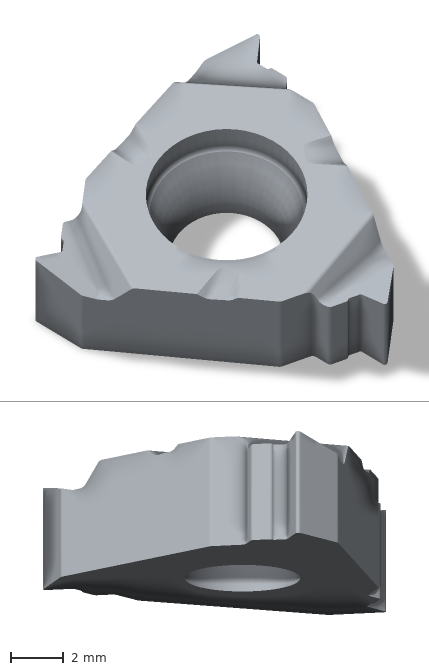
import cadquery as cq
import math

thickness = 4.25
corner_angles = (0, 120, 240)
long_wall_distance = 4.75
end_wall_distance = 5.41
blend_radius = 0.26

flank_angle = math.radians(60)
outer_flank_distance = 6.61
inner_flank_distance = 0.4
shoulder_flank_distance = 1.64
root_height = 5.95
shoulder_height = 6.07
shoulder_start = -2.38
tip_radius = 0.11
root_radius = 0.1
step_root_radius = 0.05
step_crest_radius = 0.12
shoulder_radius = 0.18
end_wall_radius = 0.23
apex_height = (outer_flank_distance + inner_flank_distance) / (2 * math.cos(flank_angle))
tip_height = apex_height - tip_radius * (1 / math.cos(flank_angle) - 1)

rake_angle = 15
tip_drop = 0.277
groove_direction = 32
groove_wall_distance = 5.1
groove_wall_angle = 54
groove_depth = 0.95
groove_radius = 0.34
groove_lip_radius = 0.19

notch_direction = -15
notch_center = -0.23
notch_depth = 0.25
notch_ramp_angle = 10.5
notch_width = 0.89
notch_side_angle = 38
notch_radius = 0.38
notch_length = 2.03

hole_diameter = 4.4
head_diameter = 6.14
head_depth = 1.07
seat_diameter = 5.87
seat_depth = 1.27
throat_depth = 3.55

reach = 27.04


def plan_direction(degrees):
    """Level unit vector at a plan angle measured from +X."""
    angle = math.radians(degrees)
    return cq.Vector(math.cos(angle), math.sin(angle), 0)


def half_space(point, normal):
    """Block filling everything on the side of a plane that its normal points to."""
    plane = cq.Plane(origin=point.toTuple(), normal=normal.toTuple())
    return cq.Workplane(plane).rect(reach, reach).extrude(reach)


def sloped_normal(downhill, degrees):
    """Upward normal of a plane that falls by the given angle along a level direction."""
    angle = math.radians(degrees)
    return downhill * math.sin(angle) + cq.Vector(0, 0, math.cos(angle))


def flank_x(distance, height):
    """X at a given Y on a flank that falls to the right at the flank angle."""
    return (distance - height * math.cos(flank_angle)) / math.sin(flank_angle)


def tooth_outline():
    """Corner points of the +Y corner, clockwise, each with its rounding radius."""
    wall_top = (outer_flank_distance - long_wall_distance * math.sin(flank_angle)) / math.cos(flank_angle)
    step_run = (shoulder_height - root_height) / math.tan(flank_angle)
    end_x = (long_wall_distance - end_wall_distance * math.sin(flank_angle)) / math.cos(flank_angle)
    return [
        ((-long_wall_distance, wall_top), blend_radius),
        ((flank_x(inner_flank_distance, apex_height), apex_height), tip_radius),
        ((flank_x(inner_flank_distance, root_height), root_height), root_radius),
        ((shoulder_start - step_run, root_height), step_root_radius),
        ((shoulder_start, shoulder_height), step_crest_radius),
        ((flank_x(shoulder_flank_distance, shoulder_height), shoulder_height), shoulder_radius),
        ((flank_x(shoulder_flank_distance, end_wall_distance), end_wall_distance), end_wall_radius),
        ((end_x, end_wall_distance), blend_radius),
    ]


def rounded_outline(corners):
    """Closed outline whose corners are replaced by tangent arcs."""
    outline = cq.Workplane("XY")
    for index, (corner, radius) in enumerate(corners):
        vertex = cq.Vector(*corner)
        back = (cq.Vector(*corners[index - 1][0]) - vertex).normalized()
        ahead = (cq.Vector(*corners[(index + 1) % len(corners)][0]) - vertex).normalized()
        half_angle = back.getAngle(ahead) / 2
        setback = radius / math.tan(half_angle)
        bisector = (back + ahead).normalized()
        middle = (vertex + bisector * (radius / math.sin(half_angle) - radius)).toTuple()[:2]
        end = (vertex + ahead * setback).toTuple()[:2]
        start = (vertex + back * setback).toTuple()[:2]
        outline = outline.moveTo(*start) if index == 0 else outline.lineTo(*start)
        outline = outline.threePointArc(middle, end)
    return outline.close()


def body():
    """Full-height prism with the corner outline repeated around the hole axis."""
    corners = []
    for angle in corner_angles:
        turn = math.radians(-angle)
        for (x, y), radius in tooth_outline():
            turned_x = x * math.cos(turn) - y * math.sin(turn)
            turned_y = x * math.sin(turn) + y * math.cos(turn)
            corners.append(((turned_x, turned_y), radius))
    return rounded_outline(corners).extrude(thickness)


def chip_groove():
    """Space above the rake face, the groove floor and the rear wall of the +Y tooth."""
    outward = plan_direction(groove_direction + 90)
    wall_normal = sloped_normal(outward, groove_wall_angle)
    rake_normal = sloped_normal(cq.Vector(0, -1, 0), rake_angle)
    rear_wall = half_space(outward * groove_wall_distance + cq.Vector(0, 0, thickness), wall_normal)
    rake = half_space(cq.Vector(0, tip_height, thickness - tip_drop), rake_normal)
    floor = half_space(cq.Vector(0, 0, thickness - groove_depth), cq.Vector(0, 0, 1))
    rake_corner = cq.selectors.ParallelDirSelector(wall_normal.cross(rake_normal))
    floor_corner = cq.selectors.ParallelDirSelector(plan_direction(groove_direction))
    return rear_wall.intersect(rake).intersect(floor).edges(rake_corner + floor_corner).fillet(groove_radius)


def screw_hole():
    """Cylindrical head recess over a curved seat that narrows smoothly to the throat."""
    hole_radius = hole_diameter / 2
    seat_run = (seat_diameter - hole_diameter) / 2
    seat_drop = throat_depth - seat_depth
    seat_radius = (seat_run**2 + seat_drop**2) / (2 * seat_run)
    half_turn = math.asin(seat_drop / seat_radius) / 2
    seat_middle = (
        hole_radius + seat_radius * (1 - math.cos(half_turn)),
        thickness - throat_depth + seat_radius * math.sin(half_turn),
    )
    return (
        cq.Workplane("XZ")
        .moveTo(0, thickness)
        .lineTo(head_diameter / 2, thickness)
        .lineTo(head_diameter / 2, thickness - head_depth)
        .tangentArcPoint((seat_diameter / 2, thickness - seat_depth), relative=False)
        .threePointArc(seat_middle, (hole_radius, thickness - throat_depth))
        .lineTo(hole_radius, 0)
        .lineTo(0, 0)
        .close()
        .revolve(360, (0, 0, 0), (0, 1, 0))
    )


def notch():
    """Space above the ramped floor and between the sloping sides of the left-wall notch."""
    height = 2 * notch_depth
    spread = height / math.tan(math.radians(notch_side_angle))
    half_floor = notch_width / 2
    profile = [
        (-half_floor, 0),
        (half_floor, 0),
        (half_floor + spread, height),
        (-half_floor - spread, height),
    ]
    prism = cq.Workplane("XY").polyline(profile).close().extrude(notch_length, both=True)
    prism = prism.edges("|Z and <Y").fillet(notch_radius)
    ramp = math.radians(notch_ramp_angle)
    inward = plan_direction(notch_direction) * math.cos(ramp) + cq.Vector(0, 0, math.sin(ramp))
    mouth = cq.Plane(
        origin=(-long_wall_distance, notch_center, thickness - notch_depth),
        xDir=plan_direction(notch_direction + 90).toTuple(),
        normal=inward.toTuple(),
    )
    return prism.val().moved(cq.Location(mouth))


def turned(shape, angle):
    return cq.Workplane(shape).rotate((0, 0, 0), (0, 0, 1), angle)


result = body().cut(screw_hole())
groove = chip_groove().val()
for angle in corner_angles:
    result = result.cut(turned(groove, angle))

for angle in corner_angles:
    lip = cq.selectors.ParallelDirSelector(plan_direction(groove_direction + angle))
    result = result.faces(">Z").edges(lip).fillet(groove_lip_radius)

wall_notch = notch()
for angle in corner_angles:
    result = result.cut(turned(wall_notch, angle))